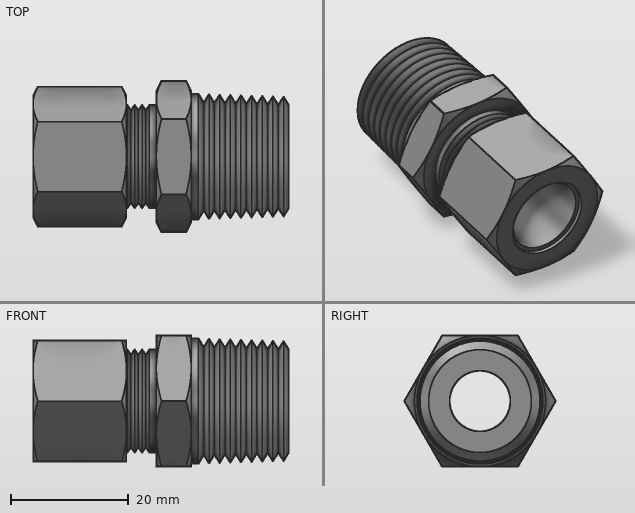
import cadquery as cq
import math


total_length = 43.45
nut_end = 15.85
neck_thread_end = 19.75
body_start = 20.95
body_end = 26.85
taper_thread_start = 28.05

nut_flats = 20.6
nut_corner_diameter = nut_flats / math.cos(math.pi / 6)
body_flats = 22.3
body_corner_diameter = 25.65
chamfer_slope = 0.5

neck_radius = 8.77
neck_root_radius = 7.85
neck_pitch = 1.25
neck_turns = 3

collar_radius = 10.7
taper_crest_radius = 10.65
taper_root_radius = 9.2
taper_turns = 8
taper_pitch = (total_length - taper_thread_start) / (taper_turns + 0.5)
taper_slope = 1 / 32

entry_radius = 7.05
entry_depth = 0.8
tube_radius = 6.4
tube_stop = body_start
through_radius = 5.12


def revolve_about_x(points):
    """Solid of revolution from (x, radius) points; the outline is closed along the axis."""
    outline = [(points[0][0], 0), *points, (points[-1][0], 0)]
    return cq.Workplane("XZ").polyline(outline).close().revolve(360, (0, 0, 0), (1, 0, 0))


def cylinder(start, end, radius):
    return revolve_about_x([(start, radius), (end, radius)])


def chamfered_hex(start, end, flats, outer_radius):
    """Hexagonal prism whose ends are coned down to the circle touching the flats."""
    corner_diameter = flats / math.cos(math.pi / 6)
    prism = cq.Workplane("YZ", origin=(start, 0, 0)).polygon(6, corner_diameter).extrude(end - start)
    face_radius = flats / 2
    chamfer = chamfer_slope * (outer_radius - face_radius)
    envelope = revolve_about_x([
        (start, face_radius),
        (start + chamfer, outer_radius),
        (end - chamfer, outer_radius),
        (end, face_radius),
    ])
    return prism.intersect(envelope)


def neck():
    """Neck with ring-shaped thread grooves; its root-sized end is buried inside the nut."""
    points = [(body_start, neck_radius), (neck_thread_end, neck_radius)]
    for turn in range(neck_turns):
        crest = neck_thread_end - turn * neck_pitch
        points.append((crest - neck_pitch / 2, neck_root_radius))
        points.append((crest - neck_pitch, neck_radius))
    buried_end = neck_thread_end - (neck_turns + 0.5) * neck_pitch
    points.append((buried_end, neck_root_radius))
    return revolve_about_x(points)


def taper_thread():
    """Collar followed by ring-shaped thread ridges that shrink along the taper."""
    points = [(body_end, collar_radius), (taper_thread_start, collar_radius)]
    for turn in range(taper_turns):
        root = (turn + 0.5) * taper_pitch
        crest = (turn + 1) * taper_pitch
        points.append((taper_thread_start + root, taper_root_radius - taper_slope * root))
        points.append((taper_thread_start + crest, taper_crest_radius - taper_slope * crest))
    end_radius = taper_root_radius - taper_slope * (total_length - taper_thread_start)
    points.append((total_length, end_radius))
    return revolve_about_x(points)


nut = chamfered_hex(0, nut_end, nut_flats, nut_corner_diameter / 2)
body = chamfered_hex(body_start, body_end, body_flats, body_corner_diameter / 2)
fitting = nut.union(neck()).union(body).union(taper_thread())

through_bore = cylinder(0, total_length, through_radius)
tube_bore = cylinder(0, tube_stop, tube_radius)
entry_recess = cylinder(0, entry_depth, entry_radius)
result = fitting.cut(through_bore).cut(tube_bore).cut(entry_recess)